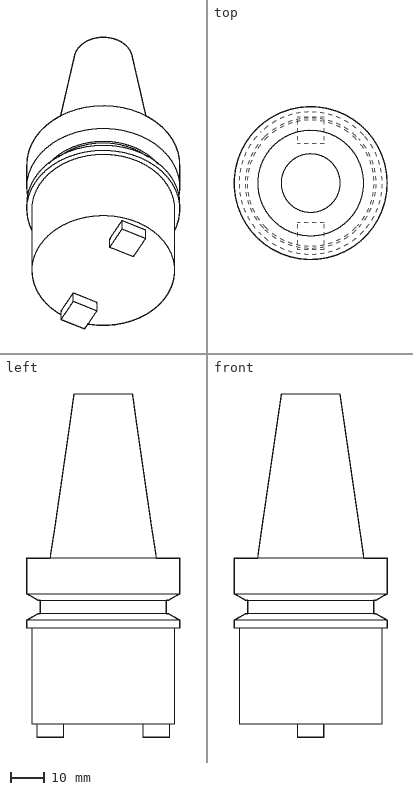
import cadquery as cq
import math

taper_length = 48.36
taper_ratio = 7 / 24
gauge_diameter = 31.75
collar_height = 1.0

flange_diameter = 46.0
flange_bottom_depth = 22.0
lower_rim_height = 2.4

groove_diameter = 38.0
groove_floor_height = 4.0
groove_side_height = 1.95
groove_side_angle = 30

body_diameter = 42.9
face_depth = 50.8

key_width = 8.0
key_length = 8.0
key_outer_reach = 19.9
key_height = 4.0
key_embed = 1.0

taper_tip_radius = (gauge_diameter - taper_length * taper_ratio) / 2
gauge_radius = gauge_diameter / 2
flange_radius = flange_diameter / 2
groove_radius = groove_diameter / 2
body_radius = body_diameter / 2

groove_side_run = groove_side_height / math.tan(math.radians(groove_side_angle))
groove_side_inner_radius = flange_radius - groove_side_run

flange_bottom = -flange_bottom_depth
groove_bottom = flange_bottom + lower_rim_height
groove_floor_bottom = groove_bottom + groove_side_height
groove_floor_top = groove_floor_bottom + groove_floor_height
groove_top = groove_floor_top + groove_side_height


def make_holder():
    """Taper, grooved flange and cylindrical body as one revolved profile."""
    profile = [
        (0, taper_length),
        (taper_tip_radius, taper_length),
        (gauge_radius, 0),
        (gauge_radius, -collar_height),
        (flange_radius, -collar_height),
        (flange_radius, groove_top),
        (groove_side_inner_radius, groove_floor_top),
        (groove_radius, groove_floor_top),
        (groove_radius, groove_floor_bottom),
        (groove_side_inner_radius, groove_floor_bottom),
        (flange_radius, groove_bottom),
        (flange_radius, flange_bottom),
        (body_radius, flange_bottom),
        (body_radius, -face_depth),
        (0, -face_depth),
    ]
    return cq.Workplane("XZ").polyline(profile).close().revolve(360, (0, 0, 0), (0, 1, 0))


def make_drive_keys():
    """Two opposite rectangular keys standing out of the end face."""
    key_center = key_outer_reach - key_length / 2
    return (
        cq.Workplane("XY")
        .workplane(offset=-face_depth - key_height)
        .pushPoints([(0, -key_center), (0, key_center)])
        .rect(key_width, key_length)
        .extrude(key_height + key_embed)
    )


result = make_holder().union(make_drive_keys())